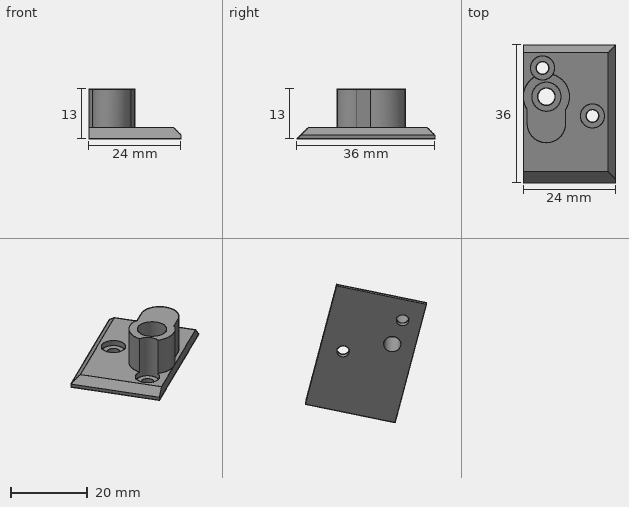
import cadquery as cq

plate_width = 24.0
plate_length = 36.0
plate_height = 3.0
front_bevel = plate_height
back_bevel = 2.05
side_bevel = 1.95

boss_height = 10.0
boss_radius = 6.0
boss_x = boss_radius
boss_y = 22.5
lobe_radius = 5.0
lobe_y = 15.5
total_height = plate_height + boss_height

bore_diameter = 7.6
bore_depth = 5.0
bore_hole_diameter = 4.45

screw_positions = [(5.0, 30.0), (18.0, 17.5)]
screw_hole_diameter = 3.25
screw_head_diameter = 6.25
screw_head_depth = 1.5


def make_plate():
    """The plate with 45 degree bevels along its front, back and right upper edges."""
    plate = (
        cq.Workplane("YZ")
        .moveTo(0, 0)
        .lineTo(plate_length, 0)
        .lineTo(plate_length, plate_height - back_bevel)
        .lineTo(plate_length - back_bevel, plate_height)
        .lineTo(front_bevel, plate_height)
        .close()
        .extrude(plate_width)
    )
    side_wedge = (
        cq.Workplane("XZ")
        .moveTo(plate_width, plate_height)
        .lineTo(plate_width - side_bevel, plate_height)
        .lineTo(plate_width, plate_height - side_bevel)
        .close()
        .extrude(-plate_length)
    )
    return plate.cut(side_wedge)


def cylinder(x, y, bottom, top, radius):
    return cq.Workplane("XY", origin=(x, y, bottom)).circle(radius).extrude(top - bottom)


def make_boss():
    main = cylinder(boss_x, boss_y, 0, total_height, boss_radius)
    lobe = cylinder(boss_x, lobe_y, 0, total_height, lobe_radius)
    bridge = (
        cq.Workplane("XY", origin=(boss_x, (boss_y + lobe_y) / 2, 0))
        .rect(2 * lobe_radius, boss_y - lobe_y)
        .extrude(total_height)
    )
    return main.union(bridge).union(lobe)


def stepped_hole(x, y, floor, hole_diameter, head_diameter):
    """A through hole with a wider round recess from the floor height to the top of the boss."""
    hole = cylinder(x, y, 0, total_height, hole_diameter / 2)
    recess = cylinder(x, y, floor, total_height, head_diameter / 2)
    return hole.union(recess)


result = make_plate().union(make_boss())

bore_floor = total_height - bore_depth
result = result.cut(stepped_hole(boss_x, boss_y, bore_floor, bore_hole_diameter, bore_diameter))

screw_head_floor = plate_height - screw_head_depth
for screw_x, screw_y in screw_positions:
    result = result.cut(
        stepped_hole(screw_x, screw_y, screw_head_floor, screw_hole_diameter, screw_head_diameter)
    )